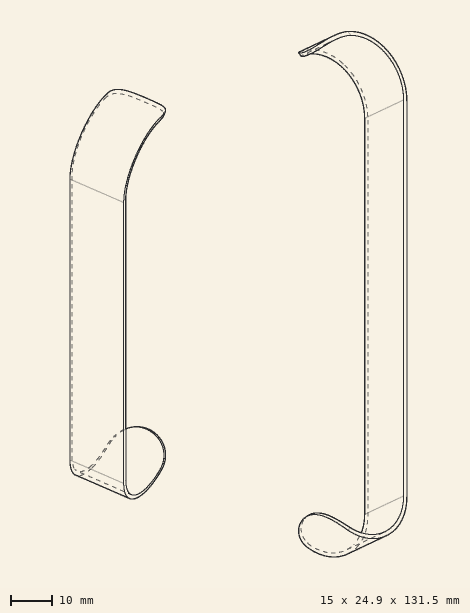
import cadquery as cq
import math

height = 131.5
width = 15.0
depth = 24.9
thickness = 1.0
bend_radius = 14.1

inner_radius = bend_radius - thickness
bend_z = height / 2 - bend_radius
tip_angle = math.asin((depth - bend_radius) / bend_radius)


def hook_point(radius, angle):
    """Point (y, z) on the upper hook, with the angle measured from +Z towards +Y."""
    return (bend_radius + radius * math.sin(angle), bend_z + radius * math.cos(angle))


def make_upper_half():
    """Half of the strip above the middle plane, with a square free end."""
    mid_angle = (tip_angle - math.pi / 2) / 2
    return (
        cq.Workplane("YZ")
        .lineTo(0, bend_z)
        .threePointArc(hook_point(bend_radius, mid_angle), hook_point(bend_radius, tip_angle))
        .lineTo(*hook_point(inner_radius, tip_angle))
        .threePointArc(hook_point(inner_radius, mid_angle), (thickness, bend_z))
        .lineTo(thickness, 0)
        .close()
        .extrude(width / 2, both=True)
    )


def make_tip_trimmer():
    """Waste outside a half-round end as wide as the strip, running square to the tip."""
    end_radius = width / 2
    tip_plane = cq.Plane(
        origin=(0, bend_radius, bend_z),
        xDir=(1, 0, 0),
        normal=(0, math.sin(tip_angle), math.cos(tip_angle)),
    )
    trim_height = 2 * bend_radius
    block = cq.Workplane(tip_plane).rect(2 * width, width).extrude(trim_height)
    kept_end = cq.Workplane(tip_plane).center(0, -end_radius).circle(end_radius).extrude(trim_height)
    return block.cut(kept_end)


upper_half = make_upper_half().cut(make_tip_trimmer())
lower_half = upper_half.mirror("XY")
result = upper_half.union(lower_half)